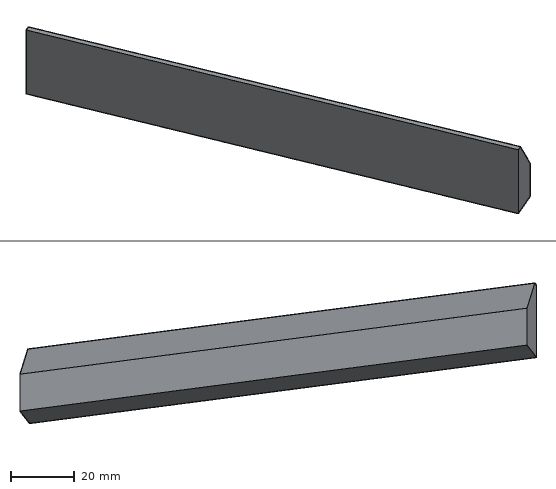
import cadquery as cq

length = 168.0
thickness = 10.0
height = 25.0

top_flat = 1.8
back_height = 12.8

front_y = -thickness / 2
back_y = thickness / 2
profile = [
    (front_y, 0),
    (back_y, 0),
    (back_y, back_height),
    (front_y + top_flat, height),
    (front_y, height),
]

result = cq.Workplane("YZ").polyline(profile).close().extrude(length / 2, both=True)